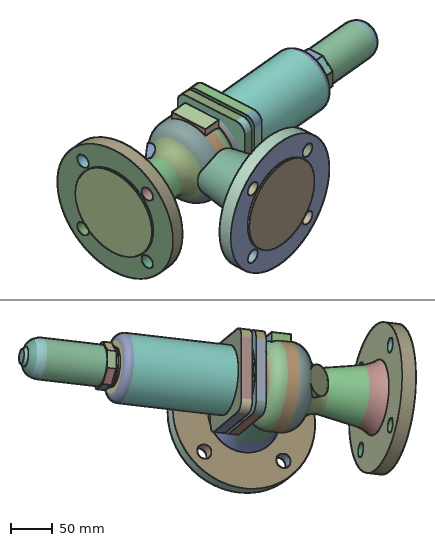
import cadquery as cq
import math


OVERALL_LENGTH = 480.5
OVERALL_WIDTH = 237.5

FLANGE_RADIUS = 185.0 / 2
FLANGE_THICKNESS = 18.5
RAISED_FACE_RADIUS = 61.0
RAISED_FACE_HEIGHT = 3.0
FLANGE_BACK = RAISED_FACE_HEIGHT + FLANGE_THICKNESS
BOLT_CIRCLE_RADIUS = 72.5
BOLT_HOLE_RADIUS = 9.0
BOLT_COUNT = 4

FLARE_LENGTH = 21.5
FLARE_RADIUS = 46.5
INLET_CONE_WIDE_RADIUS = 37.5
INLET_FLARE_CURVE = 52.5
INLET_THROAT_Y = 92.0
INLET_THROAT_RADIUS = 29.0
OUTLET_Y = 145.5
OUTLET_FACE_X = OVERALL_WIDTH - FLANGE_RADIUS
OUTLET_CONE_WIDE_RADIUS = 41.5
OUTLET_FLARE_CURVE = 101.0
OUTLET_CONE_NARROW_RADIUS = 25.5

BODY_RADIUS = 112.0 / 2
BODY_BLEND_Y = 118.0
BODY_BLEND_RADIUS = 42.5
BODY_WIDE_BOTTOM_Y = 140.0
BODY_WIDE_TOP_Y = 155.7
SHOULDER_Y = 173.5
SHOULDER_RADIUS = 45.0
COLLAR_RADIUS = 43.7
COLLAR_FILLET = 2.5

JOINT_SIDE = 107.0
JOINT_CORNER_RADIUS = 14.0
LOWER_JOINT_Y = 183.0
LOWER_JOINT_THICKNESS = 13.0
GASKET_RADIUS = 50.0
GASKET_THICKNESS = 2.5
SPIGOT_RADIUS = 47.0
SPIGOT_HEIGHT = 2.5
UPPER_JOINT_THICKNESS = 14.5
GASKET_TOP_Y = LOWER_JOINT_Y + LOWER_JOINT_THICKNESS + GASKET_THICKNESS
UPPER_JOINT_Y = GASKET_TOP_Y + SPIGOT_HEIGHT
JOINT_TOP_Y = UPPER_JOINT_Y + UPPER_JOINT_THICKNESS

BONNET_RADIUS = 43.5
BONNET_TOP_Y = 361.5
BONNET_ROUNDING = 10.5

CAP_NECK_RADIUS = 24.5
CAP_BOTTOM_Y = 364.5
CAP_RADIUS = 51.5 / 2
GRIP_BOTTOM_Y = 367.5
GRIP_TOP_Y = 379.5
GRIP_ACROSS_FLATS = 54.5
GRIP_SIDES = 8
CAP_SHOULDER_Y = 457.0
CAP_CROWN_Y = 468.5
CAP_CROWN_RADIUS = 22.5
CAP_CROWN_TOP_Y = 476.5
CAP_CROWN_TOP_RADIUS = 12.5
CAP_TIP_RADIUS = 9.0
CAP_TOP_Y = OVERALL_LENGTH

DRAIN_RADIUS = 19.5
DRAIN_FACE_X = -39.5
DRAIN_FACE_Y = 109.0
DRAIN_SLOPE = 34.0
DRAIN_LENGTH = 48.0

PAD_WIDTH = 54.0
PAD_BOTTOM_Y = 141.0
PAD_TOP_Y = 166.0
PAD_TOP_Z = 59.0


def disc(bottom_y, top_y, radius):
    """Cylinder about the Y axis."""
    return cq.Workplane("XZ", origin=(0, bottom_y, 0)).circle(radius).extrude(bottom_y - top_y)


def revolve_about_y(profile):
    """Turn a closed X-Y half profile about the Y axis."""
    return profile.close().revolve(360, (0, 0, 0), (0, 1, 0))


def pipe_flange():
    """Bolted flange on the Y axis, raised face at Y = 0, body towards +Y."""
    raised_face = disc(0, RAISED_FACE_HEIGHT, RAISED_FACE_RADIUS)
    plate = disc(RAISED_FACE_HEIGHT, FLANGE_BACK, FLANGE_RADIUS)
    flange = plate.union(raised_face)
    for index in range(BOLT_COUNT):
        angle = math.radians((index + 0.5) * 360 / BOLT_COUNT)
        x = BOLT_CIRCLE_RADIUS * math.cos(angle)
        z = BOLT_CIRCLE_RADIUS * math.sin(angle)
        flange = flange.cut(disc(0, FLANGE_BACK, BOLT_HOLE_RADIUS).translate((x, 0, z)))
    return flange


def branch_profile(wide_radius, flare_curve, narrow_radius, end_y):
    """Open half profile of a flared cone that starts on the back of a pipe flange."""
    return (
        cq.Workplane("XY")
        .moveTo(0, FLANGE_BACK)
        .lineTo(FLARE_RADIUS, FLANGE_BACK)
        .radiusArc((wide_radius, FLANGE_BACK + FLARE_LENGTH), flare_curve)
        .lineTo(narrow_radius, end_y)
    )


def inlet_and_body():
    """Inlet branch, rounded body and the collar under the joint."""
    profile = (
        branch_profile(INLET_CONE_WIDE_RADIUS, INLET_FLARE_CURVE, INLET_THROAT_RADIUS, INLET_THROAT_Y)
        .tangentArcPoint((BODY_BLEND_RADIUS, BODY_BLEND_Y), relative=False)
        .tangentArcPoint((BODY_RADIUS, BODY_WIDE_BOTTOM_Y), relative=False)
        .lineTo(BODY_RADIUS, BODY_WIDE_TOP_Y)
        .tangentArcPoint((SHOULDER_RADIUS, SHOULDER_Y), relative=False)
        .tangentArcPoint((COLLAR_RADIUS, SHOULDER_Y + COLLAR_FILLET), relative=False)
        .lineTo(COLLAR_RADIUS, LOWER_JOINT_Y - COLLAR_FILLET)
        .tangentArcPoint((COLLAR_RADIUS + COLLAR_FILLET, LOWER_JOINT_Y), relative=False)
        .lineTo(0, LOWER_JOINT_Y)
    )
    return revolve_about_y(profile).union(pipe_flange())


def outlet():
    """Outlet branch built along Y, then laid along +X; its narrow end reaches the spindle axis."""
    profile = branch_profile(
        OUTLET_CONE_WIDE_RADIUS, OUTLET_FLARE_CURVE, OUTLET_CONE_NARROW_RADIUS, OUTLET_FACE_X
    ).lineTo(0, OUTLET_FACE_X)
    branch = revolve_about_y(profile).union(pipe_flange())
    return branch.rotate((0, 0, 0), (0, 0, 1), 90).translate((OUTLET_FACE_X, OUTLET_Y, 0))


def joint_plate(bottom_y, thickness):
    """Square joint flange with rounded corners."""
    return (
        cq.Workplane("XZ", origin=(0, bottom_y, 0))
        .rect(JOINT_SIDE, JOINT_SIDE)
        .extrude(-thickness)
        .edges("|Y")
        .fillet(JOINT_CORNER_RADIUS)
    )


def joint():
    """Two square flanges with the gasket and a shallow round spigot between them."""
    lower = joint_plate(LOWER_JOINT_Y, LOWER_JOINT_THICKNESS)
    gasket = disc(LOWER_JOINT_Y, GASKET_TOP_Y, GASKET_RADIUS)
    spigot = disc(GASKET_TOP_Y, UPPER_JOINT_Y, SPIGOT_RADIUS)
    upper = joint_plate(UPPER_JOINT_Y, UPPER_JOINT_THICKNESS)
    return lower.union(gasket).union(spigot).union(upper)


def bonnet():
    """Spring housing with a rounded upper edge."""
    return disc(JOINT_TOP_Y, BONNET_TOP_Y, BONNET_RADIUS).faces(">Y").edges().fillet(BONNET_ROUNDING)


def cap():
    """Domed cap with its octagonal grip."""
    profile = (
        cq.Workplane("XY")
        .moveTo(0, BONNET_TOP_Y)
        .lineTo(CAP_NECK_RADIUS, BONNET_TOP_Y)
        .lineTo(CAP_NECK_RADIUS, CAP_BOTTOM_Y)
        .lineTo(CAP_RADIUS, CAP_BOTTOM_Y)
        .lineTo(CAP_RADIUS, CAP_SHOULDER_Y)
        .tangentArcPoint((CAP_CROWN_RADIUS, CAP_CROWN_Y), relative=False)
        .tangentArcPoint((CAP_CROWN_TOP_RADIUS, CAP_CROWN_TOP_Y), relative=False)
        .lineTo(CAP_TIP_RADIUS, CAP_TOP_Y)
        .lineTo(0, CAP_TOP_Y)
    )
    grip = (
        cq.Workplane("XZ", origin=(0, GRIP_BOTTOM_Y, 0))
        .polygon(GRIP_SIDES, GRIP_ACROSS_FLATS, circumscribed=True)
        .extrude(GRIP_BOTTOM_Y - GRIP_TOP_Y)
    )
    return revolve_about_y(profile).union(grip)


def drain_boss():
    """Sloping round boss that runs from its flat face into the body."""
    slope = math.radians(DRAIN_SLOPE)
    inward = cq.Vector(math.cos(slope), math.sin(slope), 0)
    face_centre = cq.Vector(DRAIN_FACE_X, DRAIN_FACE_Y, 0)
    return cq.Workplane(obj=cq.Solid.makeCylinder(DRAIN_RADIUS, DRAIN_LENGTH, face_centre, inward))


def name_plate_pad():
    """Flat-topped pad standing on the body."""
    return (
        cq.Workplane("XY")
        .center(0, (PAD_BOTTOM_Y + PAD_TOP_Y) / 2)
        .rect(PAD_WIDTH, PAD_TOP_Y - PAD_BOTTOM_Y)
        .extrude(PAD_TOP_Z)
    )


result = inlet_and_body()
for feature in (outlet(), joint(), bonnet(), cap(), drain_boss(), name_plate_pad()):
    result = result.union(feature)